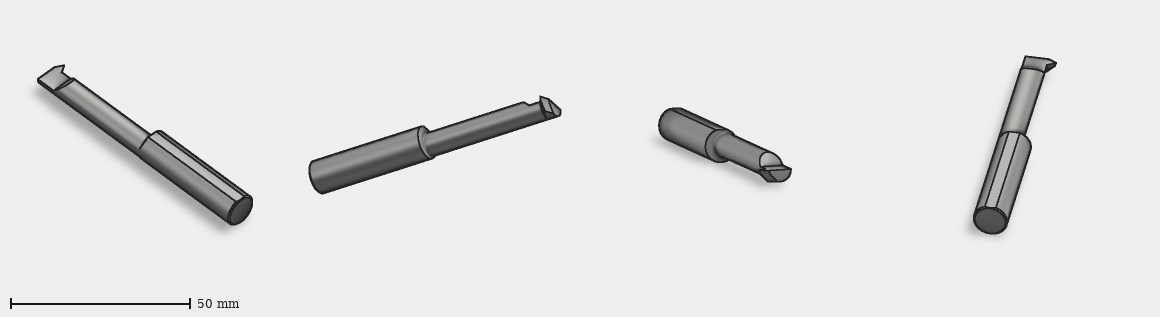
import cadquery as cq
import math

total_length = 76.2
shank_diameter = 9.525
shank_radius = shank_diameter / 2
shank_length = 35.5
shank_start = total_length - shank_length
shank_flat_height = 4.5
end_chamfer = 0.4

neck_radius = 3.375
neck_side = 1.9
neck_axis_y = neck_side - neck_radius
neck_fillet = 0.6

rake_face_length = 6.35
run_out_angle = 45

tooth_point_y = 4.3
tooth_height = tooth_point_y - neck_side
tooth_angle = 60
tooth_half_width = tooth_height * math.tan(math.radians(tooth_angle / 2))
tooth_width = 2 * tooth_half_width
first_relief_depth = 1.13
first_relief_angle = 20
second_relief_angle = 45

cut_margin = 1.0


def box_between(low, high):
    """Axis-aligned box given by two opposite corners."""
    size = [b - a for a, b in zip(low, high)]
    return cq.Workplane("XY").box(*size, centered=False).translate(tuple(low))


def make_shank_cylinder(start):
    """Shank-diameter cylinder running from `start` to the rear end."""
    return cq.Workplane("YZ", origin=(start, 0, 0)).circle(shank_radius).extrude(total_length - start)


def make_shank():
    shank = make_shank_cylinder(shank_start).faces(">X").chamfer(end_chamfer)
    flat_cut = box_between(
        (shank_start - cut_margin, -shank_radius, shank_flat_height),
        (total_length + cut_margin, shank_radius, shank_radius + cut_margin),
    )
    return shank.cut(flat_cut)


def make_neck():
    """Round neck flaring into the shank face with a fillet, kept inside the shank cylinder."""
    fillet_start = shank_start - neck_fillet
    arc_offset = neck_fillet * math.sqrt(0.5)
    profile = (
        cq.Workplane("XY", origin=(0, neck_axis_y, 0))
        .lineTo(0, neck_radius)
        .lineTo(fillet_start, neck_radius)
        .threePointArc(
            (fillet_start + arc_offset, neck_radius + neck_fillet - arc_offset),
            (shank_start, neck_radius + neck_fillet),
        )
        .lineTo(shank_start, 0)
        .close()
    )
    neck = profile.revolve(360, (0, 0, 0), (1, 0, 0))
    return neck.intersect(make_shank_cylinder(0))


def make_rake_cut():
    """Removes the upper half of the tip and leaves the sloping run-out."""
    top = neck_radius + cut_margin
    run_out = top / math.tan(math.radians(run_out_angle))
    outline = [
        (-cut_margin, 0),
        (rake_face_length, 0),
        (rake_face_length + run_out, top),
        (-cut_margin, top),
    ]
    return cq.Workplane("XZ").polyline(outline).close().extrude(shank_radius, both=True)


def make_tooth():
    """Tooth outline carried down from the rake face, leaning back along both relief faces."""

    def outline_at(z, shift):
        points = [
            (0, neck_axis_y),
            (0, neck_side - shift),
            (tooth_half_width, tooth_point_y - shift),
            (tooth_width, neck_side - shift),
            (tooth_width, neck_axis_y),
        ]
        return cq.Wire.makePolygon([cq.Vector(x, y, z) for x, y in points], close=True)

    second_relief_depth = neck_radius - first_relief_depth
    first_shift = first_relief_depth * math.tan(math.radians(first_relief_angle))
    full_shift = first_shift + second_relief_depth * math.tan(math.radians(second_relief_angle))
    top = outline_at(0, 0)
    middle = outline_at(-first_relief_depth, first_shift)
    bottom = outline_at(-neck_radius, full_shift)
    upper = cq.Workplane(cq.Solid.makeLoft([top, middle], True))
    lower = cq.Workplane(cq.Solid.makeLoft([middle, bottom], True))
    return upper.union(lower)


def make_tooth_clearance():
    """Clears the +Y half of the neck where the tooth takes its place."""
    return box_between(
        (-cut_margin, neck_axis_y, -neck_radius - cut_margin),
        (tooth_width, shank_radius, neck_radius + cut_margin),
    )


neck = make_neck().cut(make_rake_cut()).cut(make_tooth_clearance())
result = neck.union(make_tooth()).union(make_shank())